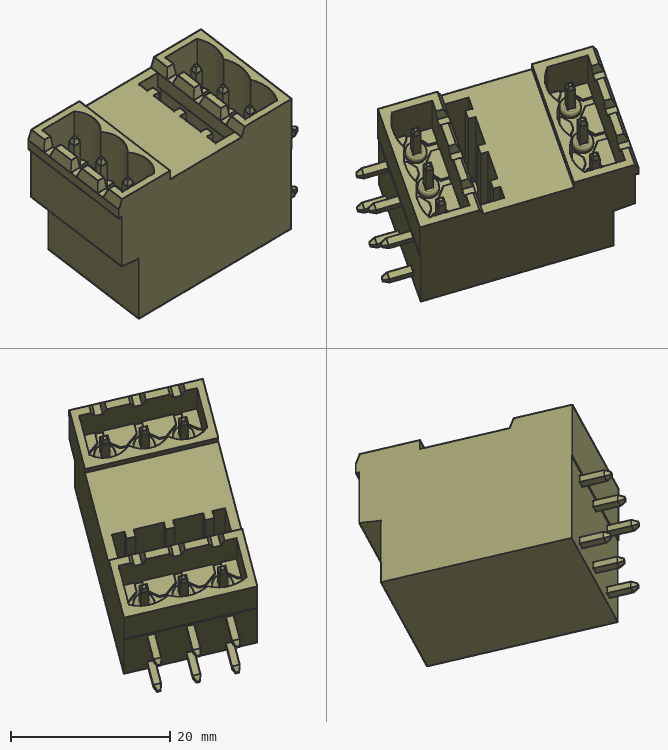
import cadquery as cq
import math


poles = 3
pole_pitch = 5.1
pin_row_pitch = 4 * pole_pitch
tail_row_pitch = 2 * pole_pitch
header_pitch = 20.5
pole_xs = [(i - (poles - 1) / 2) * pole_pitch for i in range(poles)]

width = 17.25
height = 22.0
deck_z = 20.53
slope_run = 0.52
lip_depth = 0.45
lip_bottom_z = 19.02
overhang_front_z = 10.63
overhang_root_z = 10.2
base_front_y = 3.35
front_header_back_y = 8.55
rear_y = 28.85
rear_step = 0.1
rear_step_z = 13.5

cavity_wall = 1.5
cavity_width = poles * pole_pitch
cavity_valley_y = 6.82
front_arc_rise = 1.0
rear_arc_rise = 0.65
cavity_floor_z = 14.0

channel_depth = 0.5
cross_half_width = 0.52
back_half_width = 0.95
front_half_width = 0.5
flare_x = 2.13
flare_back_y = 1.48
flare_front_y = 1.8

collar_diameter = 2.75
collar_top_diameter = 1.7
collar_round = (collar_diameter - collar_top_diameter) / 2
collar_height = 1.0

notch_top_width = 2.0
notch_bottom_width = 1.02

pocket_width = 14.63
pocket_front_y = 17.32
pocket_undercut_z = 18.17
rib_width = 1.18
rib_depth = 0.95

pin_size = 1.02
pin_tip_size = 0.45
pin_taper_length = 0.8
pin_top_z = 20.6
front_pin_y = 4.65
rear_pin_y = front_pin_y + pin_row_pitch
front_tail_z = 2.05
rear_tail_z = front_tail_z + tail_row_pitch
rear_tail_end_y = 32.8
front_tail_end_y = rear_tail_end_y - rear_step
pin_taper_angle = math.degrees(math.atan((pin_size - pin_tip_size) / 2 / pin_taper_length))

pocket_floor_z = front_tail_z - pin_size / 2


def box(x_min, x_max, y_min, y_max, z_min, z_max):
    size = (x_max - x_min, y_max - y_min, z_max - z_min)
    return cq.Workplane("XY").box(*size, centered=False).translate((x_min, y_min, z_min))


def housing_block():
    """Side profile of the housing, extruded across its width."""
    profile = [
        (base_front_y, 0),
        (rear_y - rear_step, 0),
        (rear_y - rear_step, rear_step_z),
        (rear_y, rear_step_z),
        (rear_y, height),
        (header_pitch + slope_run, height),
        (header_pitch, deck_z),
        (front_header_back_y, deck_z),
        (front_header_back_y, height),
        (slope_run, height),
        (0, deck_z),
        (0, lip_bottom_z),
        (lip_depth, lip_bottom_z),
        (lip_depth, overhang_front_z),
        (base_front_y, overhang_root_z),
    ]
    return cq.Workplane("YZ").polyline(profile).close().extrude(width / 2, both=True)


def cavity(header_y, arc_rise):
    """Plug cavity with one shallow arc per pole along its back."""
    front_y = header_y + cavity_wall
    valley_y = header_y + cavity_valley_y
    half_pitch = pole_pitch / 2
    outline = cq.Workplane("XY", origin=(0, 0, cavity_floor_z))
    outline = outline.moveTo(-cavity_width / 2, front_y).lineTo(-cavity_width / 2, valley_y)
    for x in pole_xs:
        outline = outline.threePointArc((x, valley_y + arc_rise), (x + half_pitch, valley_y))
    return outline.lineTo(cavity_width / 2, front_y).close().extrude(height - cavity_floor_z)


def floor_channels(header_y, pin_y, arc_rise):
    """Cross-shaped channels below the cavity floor, flared around each pin."""
    bottom_z = cavity_floor_z - channel_depth
    front_y = header_y + cavity_wall - pin_y
    back_y = header_y + cavity_valley_y + arc_rise - pin_y
    half_pitch = pole_pitch / 2
    right_side = [
        (front_half_width, front_y),
        (front_half_width, -flare_front_y),
        (flare_x, -cross_half_width),
        (half_pitch, -cross_half_width),
        (half_pitch, cross_half_width),
        (flare_x, cross_half_width),
        (back_half_width, flare_back_y),
        (back_half_width, back_y),
    ]
    left_side = [(-x, y) for x, y in reversed(right_side)]
    pole_channel = cq.Workplane("XY").polyline(right_side + left_side).close().extrude(channel_depth)
    channels = cq.Workplane("XY")
    for x in pole_xs:
        channels = channels.add(pole_channel.translate((x, pin_y, bottom_z)))
    cavity_below = cavity(header_y, arc_rise).translate((0, 0, -channel_depth))
    return channels.combine().intersect(cavity_below)


def collars(pin_y):
    bottom_z = cavity_floor_z - channel_depth
    return (
        cq.Workplane("XY", origin=(0, pin_y, bottom_z))
        .pushPoints([(x, 0) for x in pole_xs])
        .circle(collar_diameter / 2)
        .extrude(collar_height)
        .faces(">Z")
        .edges()
        .fillet(collar_round)
    )


def notches(header_y):
    """Tapered notches through the header front wall, one in front of each pin."""
    profile = [
        (-notch_bottom_width / 2, deck_z),
        (notch_bottom_width / 2, deck_z),
        (notch_top_width / 2, height),
        (-notch_top_width / 2, height),
    ]
    notch = cq.Workplane("XZ").polyline(profile).close().extrude(-cavity_wall)
    cuts = cq.Workplane("XY")
    for x in pole_xs:
        cuts = cuts.add(notch.translate((x, header_y, 0)))
    return cuts.combine()


def latch_pocket():
    """Deep pocket in the deck, undercut behind the lip, with a rib on its front wall at each pole."""
    half = pocket_width / 2
    back_y = header_pitch
    pocket = box(-half, half, pocket_front_y, back_y, pocket_floor_z, deck_z)
    undercut_y = back_y + lip_depth
    pocket = pocket.union(box(-half, half, pocket_front_y, undercut_y, pocket_floor_z, pocket_undercut_z))
    rib_back_y = pocket_front_y + rib_depth
    for x in pole_xs:
        rib_sides = (x - rib_width / 2, x + rib_width / 2)
        pocket = pocket.cut(box(*rib_sides, pocket_front_y, rib_back_y, pocket_floor_z, deck_z))
    return pocket


def pin(x, y, tail_z, tail_end_y):
    """Square L-shaped pin with tapered ends, rising at y and leaving through the rear face."""
    half = pin_size / 2
    shoulder_z = pin_top_z - pin_taper_length
    shoulder_y = tail_end_y - pin_taper_length
    post = box(x - half, x + half, y - half, y + half, tail_z - half, shoulder_z)
    post = post.faces(">Z").workplane(centerOption="CenterOfBoundBox").rect(pin_size, pin_size)
    post = post.extrude(pin_taper_length, taper=pin_taper_angle)
    tail = box(x - half, x + half, y - half, shoulder_y, tail_z - half, tail_z + half)
    tail = tail.faces(">Y").workplane(centerOption="CenterOfBoundBox").rect(pin_size, pin_size)
    tail = tail.extrude(pin_taper_length, taper=pin_taper_angle)
    return post.union(tail).solids()


def make_pins():
    rows = [
        (front_pin_y, front_tail_z, front_tail_end_y),
        (rear_pin_y, rear_tail_z, rear_tail_end_y),
    ]
    return [pin(x, *row) for row in rows for x in pole_xs]


def make_housing(pins):
    body = housing_block()
    headers = [
        (0, front_pin_y, front_arc_rise),
        (header_pitch, rear_pin_y, rear_arc_rise),
    ]
    for header_y, pin_y, arc_rise in headers:
        body = body.cut(cavity(header_y, arc_rise))
        body = body.cut(floor_channels(header_y, pin_y, arc_rise))
        body = body.union(collars(pin_y))
        body = body.cut(notches(header_y))
    body = body.cut(latch_pocket())
    for contact in pins:
        body = body.cut(contact)
    return body.solids()


pins = make_pins()
housing = make_housing(pins)

result = cq.Compound.makeCompound([housing.val(), *[contact.val() for contact in pins]])